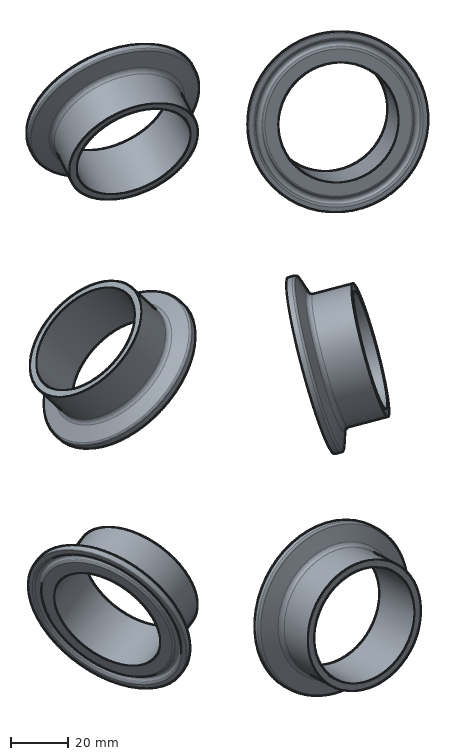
import cadquery as cq
import math

flange_diameter = 64.0
tube_diameter = 48.3
bore_diameter = 42.7
length = 21.5

rim_width = 2.95
taper_angle = 20.0
front_edge_radius = 0.2
rim_corner_radius = 0.95
neck_blend_radius = 2.0

groove_radius = 28.15
groove_half_width = 2.0
groove_bottom_radius = 1.2
groove_lip_radius = 0.8
wall_angle = math.radians(65.0)


def make_body():
    """Revolve the solid outline, then round its three outer corners."""
    flange_radius = flange_diameter / 2
    tube_radius = tube_diameter / 2
    taper_length = (flange_radius - tube_radius) * math.tan(math.radians(taper_angle))
    neck_x = rim_width + taper_length
    body = (
        cq.Workplane("XY")
        .polyline([
            (0, 0),
            (0, flange_radius),
            (rim_width, flange_radius),
            (neck_x, tube_radius),
            (length, tube_radius),
            (length, 0),
        ])
        .close()
        .revolve(360, (0, 0, 0), (1, 0, 0))
    )
    for x, edge_radius, rounding in [
        (neck_x, tube_radius, neck_blend_radius),
        (rim_width, flange_radius, rim_corner_radius),
        (0, flange_radius, front_edge_radius),
    ]:
        body = round_corner(body, x, edge_radius, rounding)
    return body


def round_corner(body, x, edge_radius, rounding):
    """Fillet the circular edge that lies at x with the given radius."""
    margin = 0.005
    corner = cq.selectors.BoxSelector(
        (x - margin, -edge_radius - margin, -edge_radius - margin),
        (x + margin, edge_radius + margin, edge_radius + margin),
        boundingbox=True,
    )
    circles = [
        edge for edge in body.edges(corner).edges("%CIRCLE").vals()
        if abs(edge.radius() - edge_radius) < margin
    ]
    return body.newObject(circles).fillet(rounding)


def make_groove():
    """Ring to cut: lip arc, straight wall, bottom arc, wall and lip again."""
    sine = math.sin(wall_angle)
    cosine = math.cos(wall_angle)
    lip_drop = groove_lip_radius * (1 - cosine)
    lip_offset = groove_half_width - groove_lip_radius * sine
    bottom_offset = groove_bottom_radius * sine
    wall_drop = (lip_offset - bottom_offset) * math.tan(wall_angle)
    bottom_start = lip_drop + wall_drop
    depth = bottom_start + groove_bottom_radius * (1 - cosine)

    half_angle = wall_angle / 2
    lip_mid_drop = groove_lip_radius * (1 - math.cos(half_angle))
    lip_mid_offset = groove_half_width - groove_lip_radius * math.sin(half_angle)

    return (
        cq.Workplane("XY")
        .moveTo(0, groove_radius + groove_half_width)
        .threePointArc(
            (lip_mid_drop, groove_radius + lip_mid_offset),
            (lip_drop, groove_radius + lip_offset),
        )
        .lineTo(bottom_start, groove_radius + bottom_offset)
        .threePointArc(
            (depth, groove_radius),
            (bottom_start, groove_radius - bottom_offset),
        )
        .lineTo(lip_drop, groove_radius - lip_offset)
        .threePointArc(
            (lip_mid_drop, groove_radius - lip_mid_offset),
            (0, groove_radius - groove_half_width),
        )
        .close()
        .revolve(360, (0, 0, 0), (1, 0, 0))
    )


def make_bore():
    return cq.Workplane("YZ").circle(bore_diameter / 2).extrude(length)


result = make_body().cut(make_groove()).cut(make_bore())